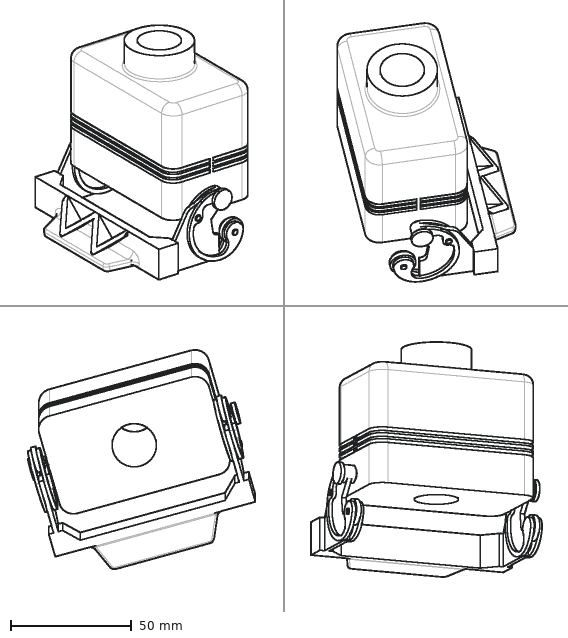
import cadquery as cq
import math


hood_length = 73.2
hood_depth = 43.1
hood_height = 52.15
hood_corner_r = 6.05
hood_top_r = 4.0
neck_d = 29.2
neck_top_z = 63.6
neck_root_r = 0.9
bore_d = 18.3

groove_r = 0.76
groove_pitch = 2.5
groove_low_z = 17.9
groove_count = 3
groove_gap = 1.6

pin_d = 5.1
pin_embed = 1.8
pivot_z = 7.5
head_r = 4.5
head_thick = 1.6
overall_length = 89.0

latch_mid_x = 40.0
web_thick = 2.05
layer_thick = 1.56
boss_r = 3.7

ring_r = 16.0
ring_width = 2.05
eye_y = 7.5
eye_z = -10.2
eye_r = 4.4
roller_r = 5.4
rivet_y = -11.6
rivet_z = 1.8
rivet_r = 1.3
rivet_boss_r = 2.4
rivet_height = 0.45
rivet_chamfer = 0.3
window_top_z = 6.3
window_corner_r = 2.7
window_low_r = 2.3

throat_y = -3.6
throat_z = -2.0
ledge_inner_y = -2.3
ledge_y = 0.45
ledge_z = -9.8
ledge_r = 2.5
shoulder_y = -15.3
shoulder_z = 5.6
shoulder_r = 4.45

bar_length = 86.15
bar_back_y = -22.2
bar_front_y = -32.1
bar_top_z = -6.6
bar_bottom_z = -20.65
relief_back_x = 37.1
relief_front_x = 31.15
relief_depth = 6.0

lip_tilt = math.radians(9)
lip_root_z = -16.9
lip_root_x = 27.2
lip_tip_x = 21.8
lip_reach = 12.1
lip_thick = 3.65
lip_corner_r = 2.7
lip_edge_r = 1.0
lip_overlap = 1.8
lip_root_r = 3.3

gusset_half_x = 21.45
gusset_tip_x = 10.9
gusset_side_drop = 1.9
gusset_tip_y = -43.2
gusset_sink = 0.1
pocket_half_width = 9.5
pocket_depth = 7.6

ring_z = pivot_z + boss_r - ring_r
ring_bottom_z = ring_z - ring_r
ring_inner_r = ring_r - ring_width
web_inner_x = latch_mid_x - web_thick / 2
web_outer_x = latch_mid_x + web_thick / 2


def plate(outline, x_start, thickness):
    """Extrude an outline drawn in Y, Z from x_start along +X."""
    return outline(cq.Workplane("YZ", origin=(x_start, 0, 0))).extrude(thickness)


def disc(y, z, radius, x_start, thickness):
    return plate(lambda wp: wp.center(y, z).circle(radius), x_start, thickness)


def block(y_min, y_max, z_min, z_max, x_start, thickness):
    corners = [(y_min, z_min), (y_max, z_min), (y_max, z_max), (y_min, z_max)]
    return plate(lambda wp: wp.polyline(corners).close(), x_start, thickness)


def tangent_point(point, side):
    """Where the line from a point touches the pivot boss; side is +1 or -1."""
    dy = point[0]
    dz = point[1] - pivot_z
    angle = math.atan2(dz, dy) + side * math.acos(boss_r / math.hypot(dy, dz))
    return (boss_r * math.cos(angle), pivot_z + boss_r * math.sin(angle))


def make_hood():
    body = (
        cq.Workplane("XY")
        .rect(hood_length, hood_depth)
        .extrude(hood_height)
        .edges("|Z").fillet(hood_corner_r)
        .faces(">Z").edges().fillet(hood_top_r)
    )
    neck = cq.Workplane("XY").circle(neck_d / 2).extrude(neck_top_z)
    body = body.union(neck)
    body = body.edges("%CIRCLE").edges(
        cq.selectors.BoxSelector(
            (-neck_d, -neck_d, hood_height - 0.1), (neck_d, neck_d, hood_height + 0.1)
        )
    ).fillet(neck_root_r)
    bore = cq.Workplane("XY").circle(bore_d / 2).extrude(neck_top_z)
    return body.cut(bore).cut(make_grooves())


def make_grooves():
    """Round-bottomed grooves, interrupted in the middle of both end walls."""
    path = (
        cq.Workplane("XY")
        .rect(hood_length, hood_depth)
        .extrude(0.9)
        .edges("|Z").fillet(hood_corner_r)
        .faces("<Z").wires().val()
    )
    ring = (
        cq.Workplane("YZ", origin=(0, -hood_depth / 2, 0))
        .circle(groove_r)
        .sweep(cq.Workplane(path))
    )
    ring = ring.cut(cq.Workplane("XY").box(overall_length, groove_gap, 4 * groove_r))
    grooves = ring.translate((0, 0, groove_low_z))
    for index in range(1, groove_count):
        grooves = grooves.add(ring.translate((0, 0, groove_low_z + index * groove_pitch)))
    return grooves.combine()


def make_pin():
    start_x = hood_length / 2 - pin_embed
    shaft = disc(0, pivot_z, pin_d / 2, start_x, overall_length / 2 - start_x)
    head = disc(0, pivot_z, head_r, overall_length / 2 - head_thick, head_thick)
    return shaft.union(head)


def make_web():
    """Middle layer: pivot boss, throat, and the arm running to the cross bar."""
    throat = (throat_y, throat_z)
    shoulder = (shoulder_y, shoulder_z)
    corners = [
        tangent_point(throat, 1),
        throat,
        (ledge_inner_y, ledge_z),
        (ledge_y, ledge_z),
        (ledge_y, bar_bottom_z),
        (bar_back_y, bar_bottom_z),
        (bar_back_y, bar_top_z),
        shoulder,
        tangent_point(shoulder, -1),
        (0, pivot_z),
    ]
    arm = plate(lambda wp: wp.polyline(corners).close(), web_inner_x, web_thick)
    arm = round_corner(arm, shoulder, shoulder_r)
    arm = round_corner(arm, (ledge_inner_y, ledge_z), ledge_r)
    boss = disc(0, pivot_z, boss_r, web_inner_x, web_thick)
    roller = disc(eye_y, eye_z, roller_r, web_inner_x, web_thick)
    return arm.union(boss).union(roller)


def round_corner(solid, corner, radius):
    """Fillet the edge parallel to X closest to a corner given in Y, Z."""
    mid_x = solid.val().BoundingBox().center.x
    return solid.edges("|X").edges(
        cq.selectors.NearestToPointSelector((mid_x, *corner))
    ).fillet(radius)


def make_window(x_start):
    """Opening inside the ring, bounded by the pivot arm and the rivet boss."""
    boss_edge_y = rivet_y + rivet_boss_r
    window = disc(0, ring_z, ring_inner_r, x_start, layer_thick)
    window = window.intersect(block(-ring_r, 0, -2 * ring_r, rivet_z, x_start, layer_thick))
    window = window.union(block(boss_edge_y, 0, rivet_z, window_top_z, x_start, layer_thick))
    window = window.cut(disc(rivet_y, rivet_z, rivet_boss_r, x_start, layer_thick))
    window = round_corner(window, (boss_edge_y, window_top_z), window_corner_r)
    return round_corner(window, (rivet_y - rivet_boss_r, rivet_z - rivet_boss_r), window_low_r)


def make_tail(x_start):
    """Crescent leading from the bottom of the ring tangentially into the eye."""
    inner_bottom_z = ring_bottom_z + ring_width
    rise = eye_z - ring_bottom_z
    outer_r = (eye_y**2 + rise**2 - eye_r**2) / (2 * (rise - eye_r))
    inner_rise = eye_z - inner_bottom_z
    inner_r = (eye_y**2 + inner_rise**2 - eye_r**2) / (2 * (inner_rise + eye_r))
    outer_z = ring_bottom_z + outer_r
    inner_z = inner_bottom_z + inner_r

    def on_arc(center_z, radius, angle):
        return (radius * math.cos(angle), center_z + radius * math.sin(angle))

    down = -math.pi / 2
    outer_end = math.atan2(eye_z - outer_z, eye_y)
    inner_end = math.atan2(eye_z - inner_z, eye_y)

    def outline(wp):
        return (
            wp.moveTo(0, ring_bottom_z)
            .threePointArc(
                on_arc(outer_z, outer_r, (down + outer_end) / 2),
                on_arc(outer_z, outer_r, outer_end),
            )
            .lineTo(eye_y, eye_z)
            .lineTo(*on_arc(inner_z, inner_r, inner_end))
            .threePointArc(
                on_arc(inner_z, inner_r, (down + inner_end) / 2),
                (0, inner_bottom_z),
            )
            .close()
        )

    return plate(outline, x_start, layer_thick)


def make_hook(x_start):
    """Spring hook: pivot boss, half ring, and tail curling into the eye."""
    ring = disc(0, ring_z, ring_r, x_start, layer_thick)
    ring = ring.cut(block(0, ring_r, -ring_r * 2, ring_r, x_start, layer_thick))
    hook = ring.cut(make_window(x_start))
    hook = hook.union(disc(0, pivot_z, boss_r, x_start, layer_thick))
    hook = hook.union(make_tail(x_start))
    return hook.union(disc(eye_y, eye_z, eye_r, x_start, layer_thick))


def make_rivet(y, z):
    length = layer_thick + rivet_height
    return disc(y, z, rivet_r, web_outer_x, length).faces(">X").chamfer(rivet_chamfer)


def make_latch_side():
    side = make_pin().union(make_web())
    for x_start in (web_inner_x - layer_thick, web_outer_x):
        side = side.union(make_hook(x_start))
    for y, z in ((rivet_y, rivet_z), (eye_y, eye_z)):
        side = side.union(make_rivet(y, z))
    return side


def make_bar():
    half = bar_length / 2
    relief_y = bar_back_y - relief_depth
    corners = [
        (-half, bar_front_y),
        (half, bar_front_y),
        (half, bar_back_y),
        (relief_back_x, bar_back_y),
        (relief_front_x, relief_y),
        (-relief_front_x, relief_y),
        (-relief_back_x, bar_back_y),
        (-half, bar_back_y),
    ]
    return (
        cq.Workplane("XY", origin=(0, 0, bar_bottom_z))
        .polyline(corners).close()
        .extrude(bar_top_z - bar_bottom_z)
    )


def make_lip():
    """Rounded trapezoid plate sloping down and away from the bar."""
    slope = cq.Plane(
        origin=(0, bar_front_y, lip_root_z),
        xDir=(1, 0, 0),
        normal=(0, -math.sin(lip_tilt), math.cos(lip_tilt)),
    )
    length = lip_reach / math.cos(lip_tilt)
    corners = [
        (-lip_root_x, lip_overlap),
        (-lip_root_x, 0),
        (-lip_tip_x, -length),
        (lip_tip_x, -length),
        (lip_root_x, 0),
        (lip_root_x, lip_overlap),
    ]
    lip = cq.Workplane(slope).polyline(corners).close().extrude(-lip_thick)
    lip = lip.faces("<Y").edges("<X or >X").fillet(lip_corner_r)
    return lip.edges().fillet(lip_edge_r)


def lip_direction_prism(outline):
    """Extrude an outline away from the bar, parallel to the lip; (0, 0) is the bar's top front edge."""
    plane = cq.Plane(
        origin=(0, bar_front_y, bar_top_z),
        xDir=(1, 0, 0),
        normal=(0, -math.cos(lip_tilt), -math.sin(lip_tilt)),
    )
    return cq.Workplane(plane).polyline(outline).close().extrude(lip_reach)


def make_gusset():
    """Two V-shaped ribs resting on the lip, with a common sloping front."""
    tip_drop = bar_top_z - lip_root_z + gusset_sink
    gusset = lip_direction_prism(
        [
            (-gusset_half_x, 0),
            (-gusset_half_x, -gusset_side_drop),
            (-gusset_tip_x, -tip_drop),
            (0, -gusset_side_drop),
            (gusset_tip_x, -tip_drop),
            (gusset_half_x, -gusset_side_drop),
            (gusset_half_x, 0),
        ]
    )
    for center_x in (-gusset_tip_x, gusset_tip_x):
        pocket = lip_direction_prism(
            [
                (center_x - pocket_half_width, 0),
                (center_x, -pocket_depth),
                (center_x + pocket_half_width, 0),
            ]
        )
        gusset = gusset.cut(pocket)
    tip_z = lip_root_z + (gusset_tip_y - bar_front_y) * math.tan(lip_tilt)
    slope_profile = [
        (bar_back_y, bar_top_z),
        (bar_front_y, bar_top_z),
        (gusset_tip_y, tip_z),
        (bar_back_y, tip_z),
    ]
    below_slope = plate(
        lambda wp: wp.polyline(slope_profile).close(), -gusset_half_x, 2 * gusset_half_x
    )
    return gusset.intersect(below_slope)


def make_handle():
    handle = make_bar().union(make_lip())
    root_edges = cq.selectors.BoxSelector(
        (-lip_root_x - 0.9, bar_front_y - 0.01, bar_bottom_z + 0.1),
        (lip_root_x + 0.9, bar_front_y + 0.01, bar_top_z - 0.9),
        boundingbox=True,
    )
    handle = handle.edges(root_edges).fillet(lip_root_r)
    return handle.union(make_gusset())


latch_side = make_latch_side()
result = (
    make_hood()
    .union(latch_side)
    .union(latch_side.mirror("YZ"))
    .union(make_handle())
)